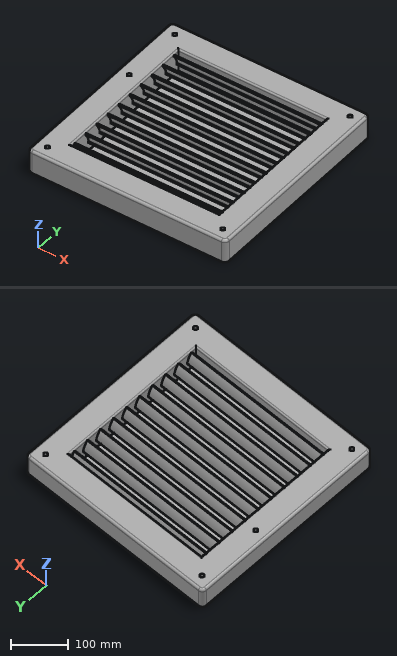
import cadquery as cq
import math

SIDE = 430.0
HEIGHT = 50.5
CORNER_RADIUS = 10.0
TOP_FILLET = 5.0

POCKET_SIDE = 320.0
FLOOR_THICKNESS = 1.7
POCKET_FILLET = 3.5

HOLE_DIAMETER = 8.0
HOLE_OFFSET = 189.5
SIDE_HOLE_Y = 53.8

SLAT_COUNT = 10
SLAT_THICKNESS = 3.0
SLAT_RADIUS = 56.0
SLAT_TIP_ANGLE = 51.0
SLAT_FOOT_ANGLE = 75.0
HOOK_RADIUS = 1.5
HOOK_END_ANGLE = 180.0
FIRST_TIP_Y = 148.0
LAST_TIP_Y = -148.5
SLAT_PITCH = (FIRST_TIP_Y - LAST_TIP_Y) / (SLAT_COUNT - 1)
SLAT_TIP_Z = 46.5
WALL_OVERLAP = 2.0


def frame():
    block = cq.Workplane("XY").box(SIDE, SIDE, HEIGHT, centered=(True, True, False))
    block = block.edges("|Z").fillet(CORNER_RADIUS)
    block = block.faces(">Z").edges().fillet(TOP_FILLET)
    pocket = (
        cq.Workplane("XY", origin=(0, 0, FLOOR_THICKNESS))
        .rect(POCKET_SIDE, POCKET_SIDE)
        .extrude(HEIGHT)
    )
    block = block.cut(pocket)
    rim = block.faces(">Z").val().innerWires()[0].Edges()
    return block.newObject(rim).fillet(POCKET_FILLET)


def drill_holes(body):
    corners = [(x, y) for x in (-HOLE_OFFSET, HOLE_OFFSET) for y in (-HOLE_OFFSET, HOLE_OFFSET)]
    centers = corners + [(-HOLE_OFFSET, SIDE_HOLE_Y)]
    holes = cq.Workplane("XY").pushPoints(centers).circle(HOLE_DIAMETER / 2).extrude(HEIGHT)
    return body.cut(holes)


def polar(center, radius, degrees):
    """Point in the YZ plane at an angle measured from +Z toward +Y."""
    angle = math.radians(degrees)
    return center[0] + radius * math.sin(angle), center[1] + radius * math.cos(angle)


def slat(tip_y):
    """One bent strip of constant thickness, placed by its tip on the convex face."""
    blade_inner = SLAT_RADIUS - SLAT_THICKNESS
    hook_outer = HOOK_RADIUS + SLAT_THICKNESS
    blade_middle = (SLAT_TIP_ANGLE + SLAT_FOOT_ANGLE) / 2
    hook_middle = (SLAT_FOOT_ANGLE + HOOK_END_ANGLE) / 2
    blade_center = polar((tip_y, SLAT_TIP_Z), -SLAT_RADIUS, SLAT_TIP_ANGLE)
    hook_center = polar(blade_center, blade_inner - HOOK_RADIUS, SLAT_FOOT_ANGLE)
    length = POCKET_SIDE + 2 * WALL_OVERLAP
    return (
        cq.Workplane("YZ", origin=(-length / 2, 0, 0))
        .moveTo(*polar(blade_center, SLAT_RADIUS, SLAT_TIP_ANGLE))
        .threePointArc(
            polar(blade_center, SLAT_RADIUS, blade_middle),
            polar(blade_center, SLAT_RADIUS, SLAT_FOOT_ANGLE),
        )
        .threePointArc(
            polar(hook_center, hook_outer, hook_middle),
            polar(hook_center, hook_outer, HOOK_END_ANGLE),
        )
        .lineTo(*polar(hook_center, HOOK_RADIUS, HOOK_END_ANGLE))
        .threePointArc(
            polar(hook_center, HOOK_RADIUS, hook_middle),
            polar(hook_center, HOOK_RADIUS, SLAT_FOOT_ANGLE),
        )
        .threePointArc(
            polar(blade_center, blade_inner, blade_middle),
            polar(blade_center, blade_inner, SLAT_TIP_ANGLE),
        )
        .close()
        .extrude(length)
    )


result = drill_holes(frame())
for index in range(SLAT_COUNT):
    result = result.union(slat(FIRST_TIP_Y - index * SLAT_PITCH))